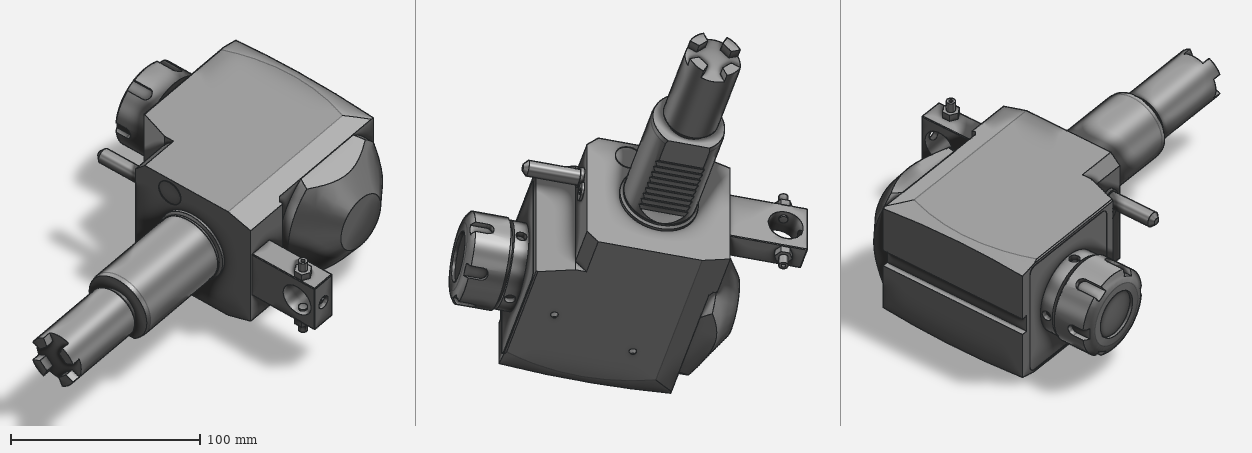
import cadquery as cq
import math


body_half_height = 37.5
body_left = -58.6
body_back = 108.0
upper_right = 35.2
lower_right = 39.2
lower_left = -39.0
shoulder_y = 24.1
taper_start_y = 31.0
right_step_y = 26.8
right_step_run = 2.3
corner_chamfer = 6.0
side_slope_start = 24.0
side_slope = math.radians(17)
crown_radius = 473.7
crown_tilt = 13
crown_x = -15.8
crown_start_y = 103.3
left_edge_chamfer = 0.8
key_slot_width = 10.4
key_slot_depth = 3.5

panel_front = 36.3
panel_back = 101.7
panel_half_height = 35.2
panel_corner = 4.0
panel_step = 0.2

spindle_y = 69.0
nut_face = -91.1
nut_rim = -88.2
nut_back = -69.0
nut_radius = 25.0
nut_face_radius = 18.3
nut_round_depth = 1.0
nut_round_radius = 22.0
bore_radius = 13.8
bore_depth = 1.8
neck_radius = 20.5
collar_start = -66.8
collar_radius = 24.0
collar_hole_x = -63.0
collar_hole_radius = 3.0
collar_hole_depth = 3.4
nut_slot_width = 6.8
nut_slot_floor = 21.7
short_slot_end = -78.3
long_slot_end = -74.5
cover_radius = 40.1
cover_rim = 41.3
cover_end = 58.2
cover_end_radius = 16.7
cover_back = 100.4
cover_flat_start = 36.0
cover_flat_height = 33.4

flange_radius = 21.5
flange_length = 1.5
flange_end = 2.5
relief_end = 3.8
relief_radius = 19.8
shank_radius = 20.0
shank_end = 63.0
shank_chamfer = 2.7
shank_tip_radius = 19.6
shank_neck_radius = 12.0
sleeve_radius = 15.0
sleeve_start = 66.8
sleeve_face = 112.3
shank_tip = 117.5
sleeve_chamfer = 0.7
dog_inner_radius = 9.7
dog_start_angle = 25
rack_flat = 16.0
rack_start = 8.3
rack_pitch = 4.3
rack_tooth_depth = 1.01
rack_groove_count = 9

pin_y = 10.0
pin_z = 16.0
pin_tip = -71.5
pin_radius = 4.3
pin_chamfer = 2.5
pin_seat_length = 2.0
pin_seat_radius = 5.5
plug_z = 6.0
plug_radius = 5.0
plug_height = 1.4
plug_socket = 3.5
front_recess_x = -16.0
front_recess_z = 27.5
front_recess_radius = 7.5
front_recess_depth = 0.5

arm_right = 81.9
arm_front = 1.1
arm_back = 16.0
arm_half_height = 14.9
arm_edge_chamfer = 0.5
arm_hole_x = 70.0
arm_hole_radius = 9.5
end_hole_radius = 3.8
screw_y = 6.0
screw_radius = 2.5
screw_tip = 24.8
screw_socket_radius = 1.1
screw_socket_depth = 2.3
lock_nut_height = 4.0
lock_nut_across_corners = 9.7

stud_places = [(-40.8, 60.7), (6.5, 77.5)]
stud_radius = 2.0
stud_tip_radius = 0.7
overall_height = 76.7
stud_height = overall_height - 2 * body_half_height

overlap = 2.3


def rod_x(radius, start, end, y, z):
    return cq.Workplane("YZ", origin=(start, y, z)).circle(radius).extrude(end - start)


def rod_z(radius, start, end, x, y):
    return cq.Workplane("XY", origin=(x, y, start)).circle(radius).extrude(end - start)


def turned_on_spindle(outline):
    """Solid of revolution about the spindle from a closed (x, radius) outline."""
    return outline.close().revolve(360, (0, 0, 0), (1, 0, 0)).translate((0, spindle_y, 0))


def both_sides(tool):
    return tool.union(tool.mirror("XY"))


def make_crown():
    """Block above the slightly arched back slope, a tilted cylinder of large radius."""
    width = 2 * body_back
    cylinder = (
        cq.Workplane("XZ", origin=(0, width / 2, -crown_radius))
        .circle(crown_radius)
        .extrude(width)
    )
    block = cq.Workplane("XY").box(width, width, body_half_height)
    crown = block.cut(cylinder).rotate((0, 0, 0), (1, 0, 0), -crown_tilt)
    return crown.translate((crown_x, crown_start_y, body_half_height))


def make_body():
    plan = [
        (lower_left, 0),
        (lower_right, 0),
        (lower_right, right_step_y),
        (lower_right - right_step_run, right_step_y),
        (upper_right, right_step_y + right_step_run),
        (upper_right, body_back),
        (body_left, body_back),
        (body_left, taper_start_y),
        (lower_left, shoulder_y),
    ]
    body = (
        cq.Workplane("XY", origin=(0, 0, -body_half_height))
        .polyline(plan)
        .close()
        .extrude(2 * body_half_height)
    )
    body = body.faces("<X").edges("|Y").chamfer(left_edge_chamfer)

    slope_run = lower_right + overlap - side_slope_start
    right_slope = (
        cq.Workplane("XZ", origin=(side_slope_start, -overlap, body_half_height))
        .polyline([(0, 0), (slope_run, -slope_run * math.tan(side_slope)), (slope_run, 0)])
        .close()
        .extrude(-(body_back + 2 * overlap))
    )
    left_chamfer = (
        cq.Workplane("XZ", origin=(lower_left, 0, body_half_height))
        .polyline([(0, 0), (corner_chamfer, 0), (0, -corner_chamfer)])
        .close()
        .extrude(-shoulder_y)
    )
    body = body.cut(both_sides(right_slope)).cut(both_sides(left_chamfer))
    body = body.cut(both_sides(make_crown()))

    key_slot = cq.Workplane("XY").box(4 * body_back, 2 * key_slot_depth, key_slot_width)
    body = body.cut(key_slot.translate((0, body_back, 0)))

    front_recess = (
        cq.Workplane("XZ", origin=(front_recess_x, 0, front_recess_z))
        .circle(front_recess_radius)
        .extrude(-front_recess_depth)
    )
    return body.cut(front_recess)


def make_panel():
    panel = cq.Workplane("XY").box(
        panel_step + overlap, panel_back - panel_front, 2 * panel_half_height
    )
    panel = panel.edges("|X").fillet(panel_corner)
    middle_x = body_left + (overlap - panel_step) / 2
    return panel.translate((middle_x, (panel_front + panel_back) / 2, 0))


def make_nut_slot(angle, slot_end):
    """Round-ended cutter for one spanner slot; angle is about the spindle, from the -Y side."""
    length = slot_end - nut_face + overlap
    half_width = nut_slot_width / 2
    cutter = (
        cq.Workplane("XZ", origin=(nut_face - overlap, -nut_slot_floor, 0))
        .moveTo(0, -half_width)
        .lineTo(length - half_width, -half_width)
        .threePointArc((length, 0), (length - half_width, half_width))
        .lineTo(0, half_width)
        .close()
        .extrude(nut_radius)
    )
    return cutter.rotate((0, 0, 0), (1, 0, 0), -angle).translate((0, spindle_y, 0))


def make_nut():
    nut = turned_on_spindle(
        cq.Workplane("XY")
        .moveTo(nut_face + bore_depth, 0)
        .lineTo(nut_face + bore_depth, bore_radius)
        .lineTo(nut_face, bore_radius)
        .lineTo(nut_face, nut_face_radius)
        .threePointArc((nut_face + nut_round_depth, nut_round_radius), (nut_rim, nut_radius))
        .lineTo(nut_back, nut_radius)
        .lineTo(nut_back, neck_radius)
        .lineTo(collar_start, neck_radius)
        .lineTo(collar_start, collar_radius)
        .lineTo(body_left + overlap, collar_radius)
        .lineTo(body_left + overlap, 0)
    )
    for angle in range(0, 360, 60):
        is_upper = 0 < angle < 180
        nut = nut.cut(make_nut_slot(angle, long_slot_end if is_upper else short_slot_end))
    hole = rod_z(
        collar_hole_radius, collar_radius - collar_hole_depth, nut_radius, collar_hole_x, spindle_y
    )
    for angle in range(0, 360, 90):
        nut = nut.cut(hole.rotate((0, spindle_y, 0), (1, spindle_y, 0), angle))
    return nut


def make_cover():
    """Conical rear cover, flattened at the back and by sloping planes above and below."""
    cover = turned_on_spindle(
        cq.Workplane("XY")
        .moveTo(upper_right - overlap, 0)
        .lineTo(upper_right - overlap, cover_radius)
        .lineTo(cover_rim, cover_radius)
        .lineTo(cover_end, cover_end_radius)
        .lineTo(cover_end, 0)
    )
    slope = math.tan(side_slope)
    start_x = upper_right - overlap
    start_z = cover_flat_height + (cover_flat_start - start_x) * slope
    end_z = cover_flat_height - (cover_end - cover_flat_start) * slope
    envelope = (
        cq.Workplane("XZ", origin=(0, cover_back, 0))
        .polyline([(start_x, -start_z), (cover_end, -end_z), (cover_end, end_z), (start_x, start_z)])
        .close()
        .extrude(2 * cover_radius)
    )
    return cover.intersect(envelope)


def make_shank():
    outline = [
        (0, -overlap),
        (flange_radius, -overlap),
        (flange_radius, flange_length),
        (relief_radius, flange_end),
        (relief_radius, relief_end),
        (shank_radius, relief_end),
        (shank_radius, shank_end - shank_chamfer),
        (shank_tip_radius, shank_end),
        (shank_neck_radius, shank_end),
        (shank_neck_radius, sleeve_start),
        (sleeve_radius - sleeve_chamfer, sleeve_start),
        (sleeve_radius, sleeve_start + sleeve_chamfer),
        (sleeve_radius, shank_tip),
        (0, shank_tip),
    ]
    shank = (
        cq.Workplane("XY")
        .polyline([(radius, -distance) for radius, distance in outline])
        .close()
        .revolve(360, (0, 0, 0), (0, 1, 0))
    )
    return shank.cut(make_rack_cutter()).cut(make_dog_cutter())


def make_rack_cutter():
    """Flat with V grooves along the underside of the shank, entered by a 45 degree slope."""
    depth = flange_radius - rack_flat
    points = [(-rack_start + depth, -flange_radius), (-rack_start, -rack_flat)]
    for index in range(rack_groove_count):
        groove_y = -rack_start - index * rack_pitch
        points.append((groove_y - rack_pitch / 2, -rack_flat + rack_tooth_depth))
        points.append((groove_y - rack_pitch, -rack_flat))
    points += [(-shank_end, -rack_flat), (-shank_end, -flange_radius)]
    return (
        cq.Workplane("YZ", origin=(-shank_radius, 0, 0))
        .polyline(points)
        .close()
        .extrude(2 * shank_radius)
    )


def make_dog_cutter():
    """End ring of the sleeve less four sectors, so that cutting it leaves four driving dogs."""
    outer_radius = sleeve_radius + overlap

    def polar(radius, degrees):
        angle = math.radians(degrees)
        return (radius * math.cos(angle), radius * math.sin(angle))

    low = dog_start_angle
    high = 90 - dog_start_angle
    face = cq.Workplane("XZ", origin=(0, -sleeve_face, 0))
    dog_length = shank_tip - sleeve_face
    dog = (
        face.moveTo(*polar(dog_inner_radius, low))
        .lineTo(*polar(2 * outer_radius, low))
        .lineTo(*polar(2 * outer_radius, high))
        .lineTo(*polar(dog_inner_radius, high))
        .close()
        .extrude(dog_length)
    )
    cutter = face.circle(outer_radius).extrude(dog_length)
    for angle in range(0, 360, 90):
        cutter = cutter.cut(dog.rotate((0, 0, 0), (0, 1, 0), angle))
    return cutter


def make_side_pin():
    pin = rod_x(pin_radius, pin_tip, lower_left + overlap, pin_y, pin_z)
    pin = pin.faces("<X").chamfer(pin_chamfer)
    seat = rod_x(pin_seat_radius, lower_left - pin_seat_length, lower_left + overlap, pin_y, pin_z)
    plug = rod_x(plug_radius, lower_left - plug_height, lower_left + overlap, pin_y, plug_z)
    socket = (
        cq.Workplane("YZ", origin=(lower_left - plug_height, pin_y, plug_z))
        .polygon(6, plug_socket)
        .extrude(plug_height)
    )
    return plug.cut(socket).union(pin).union(seat)


def make_arm():
    start_x = lower_right - overlap
    arm = cq.Workplane("XY").box(
        arm_right - start_x, arm_back - arm_front, 2 * arm_half_height, centered=False
    )
    arm = arm.translate((start_x, arm_front, -arm_half_height))
    arm = arm.edges("|X or >X").chamfer(arm_edge_chamfer)
    main_hole = (
        cq.Workplane("XZ", origin=(arm_hole_x, arm_front, 0))
        .circle(arm_hole_radius)
        .extrude(arm_front - arm_back)
    )
    end_hole = rod_x(end_hole_radius, arm_hole_x, arm_right, (arm_front + arm_back) / 2, 0)
    screw = rod_z(screw_radius, arm_hole_radius - overlap / 2, screw_tip, arm_hole_x, screw_y)
    socket = rod_z(screw_socket_radius, screw_tip - screw_socket_depth, screw_tip, arm_hole_x, screw_y)
    lock_nut = (
        cq.Workplane("XY", origin=(arm_hole_x, screw_y, arm_half_height))
        .polygon(6, lock_nut_across_corners)
        .extrude(lock_nut_height)
    )
    arm = arm.cut(main_hole).cut(end_hole)
    return arm.union(both_sides(screw.union(lock_nut).cut(socket)))


def make_stud(x, y):
    return (
        cq.Workplane("XZ")
        .polyline([
            (0, overlap),
            (stud_radius, overlap),
            (stud_radius, 0),
            (stud_tip_radius, -stud_height),
            (0, -stud_height),
        ])
        .close()
        .revolve(360, (0, 0, 0), (0, 1, 0))
        .translate((x, y, -body_half_height))
    )


result = make_body()
attachments = [make_panel(), make_nut(), make_cover(), make_shank(), make_side_pin(), make_arm()]
attachments += [make_stud(x, y) for x, y in stud_places]
for attachment in attachments:
    result = result.union(attachment)